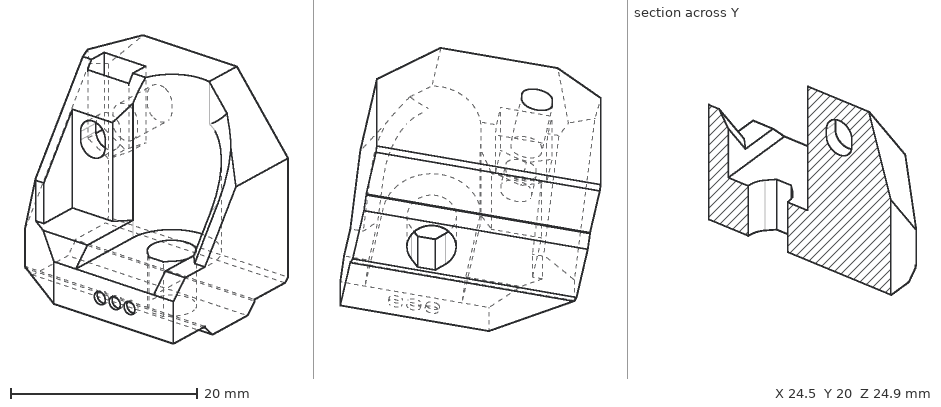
import cadquery as cq
import math

width = 24.5
depth = 20.0
height = 24.9

base_bottom = 1.45
base_front_top = 6.47
shelf_height = 8.55
shelf_front = 2.05
wall_front = 3.44
wall_break_height = 13.35
wall_top_front = 11.78
back_bottom_chamfer = 0.5
foot_front = 5.58
foot_back = 14.2
foot_chamfer = 1.25

corner_cut_x = 8.25
corner_cut_y = 5.48
right_slope_top_x = 17.53
right_slope_side_z = 16.04
back_corner_drop = 4.73
facet_front_x = 2.27
facet_front_y = 13.5
rib_left = 2.96
left_face_low_z = 5.95

channel_x = 16.5
channel_y = 9.95
channel_radius = 5.3
screw_hole_radius = 2.65
screw_hole_flat = 2.76

set_back_front = 5.48
set_back_limit = 15.16
flare_width = 1.3
flare_depth = 1.22
flare_mouth_y = 9.6

recess_left = 4.18
recess_right = 9.64
recess_back = 8.42
nut_x = 6.97
nut_z = 17.48
nut_flats = 5.63
nut_front = 11.08
nut_thickness = 2.91
cross_hole_radius = 1.67
cross_hole_shift = 0.5

pin_diameter = 1.5
pin_pitch = 2.02
pin_z = 3.95
pin_depth = 0.5

margin = 12.45
wall_slope = (height - wall_break_height) / (wall_top_front - wall_front)


def along_x(points, x_start, x_end):
    """Extrude a (y, z) outline between two x positions."""
    outline = cq.Workplane("YZ", origin=(x_start, 0, 0)).polyline(points).close()
    return outline.extrude(x_end - x_start)


def along_z(points, z_start, z_end):
    """Extrude an (x, y) outline between two z positions."""
    outline = cq.Workplane("XY", origin=(0, 0, z_start)).polyline(points).close()
    return outline.extrude(z_end - z_start)


def outside_plane(a, b, c):
    """Large block lying on the outer side of the plane through three points."""
    a, b, c = (cq.Vector(*point) for point in (a, b, c))
    normal = (b - a).cross(c - a)
    middle = cq.Vector(width / 2, depth / 2, height / 2)
    if normal.dot(middle - a) > 0:
        normal = normal * -1
    plane = cq.Plane(origin=a, xDir=b - a, normal=normal)
    size = 4 * height
    return cq.Workplane(plane).rect(size, size).extrude(size)


def teardrop(radius, flat):
    """45 degree roof on a hole along local +Y, cut off flat at the given distance."""
    tangent = radius / math.sqrt(2)
    flat_half = radius * math.sqrt(2) - flat
    return [(-tangent, tangent), (-flat_half, flat), (flat_half, flat), (tangent, tangent)]


def make_body():
    body = along_x(
        [
            (0, base_bottom),
            (foot_front, base_bottom),
            (foot_front, foot_chamfer),
            (foot_front + foot_chamfer, 0),
            (foot_back - foot_chamfer, 0),
            (foot_back, foot_chamfer),
            (foot_back, base_bottom),
            (depth - back_bottom_chamfer, base_bottom),
            (depth, base_bottom + back_bottom_chamfer),
            (depth, height),
            (wall_top_front, height),
            (wall_front, wall_break_height),
            (wall_front, shelf_height),
            (shelf_front, shelf_height),
            (0, base_front_top),
        ],
        0,
        width,
    )
    corner = along_z([(0, 0), (corner_cut_x, 0), (0, corner_cut_y)], 0, height)
    left_face = outside_plane(
        (rib_left, wall_top_front, height),
        (rib_left, wall_front, wall_break_height),
        (0, corner_cut_y, left_face_low_z),
    )
    back_facet = outside_plane(
        (back_corner_drop, depth, height),
        (0, depth, height - back_corner_drop),
        (facet_front_x, facet_front_y, height),
    )
    right_slope = outside_plane(
        (right_slope_top_x, 0, height), (right_slope_top_x, depth, height), (width, 0, right_slope_side_z)
    )
    return body.cut(corner).cut(left_face).cut(back_facet).cut(right_slope)


def make_channel():
    length = height + margin - base_front_top
    base = cq.Workplane("XY", origin=(channel_x, channel_y, base_front_top))
    arch = base.circle(channel_radius).extrude(length)
    mouth = base.center(0, -channel_y).rect(2 * channel_radius, 2 * channel_y).extrude(length)
    return arch.union(mouth)


def make_screw_hole():
    base = cq.Workplane("XY").center(channel_x, channel_y)
    roof = [(x, -y) for x, y in teardrop(screw_hole_radius, screw_hole_flat)]
    hole = base.circle(screw_hole_radius).extrude(height)
    return hole.union(base.polyline(roof + [(0, 0)]).close().extrude(height))


def make_set_back():
    """Slope right of the channel, parallel to the wall front, stopped at an upright face."""
    top_z = shelf_height + (set_back_limit - set_back_front) * wall_slope
    return along_x(
        [
            (0, shelf_height),
            (set_back_front, shelf_height),
            (set_back_limit, top_z),
            (set_back_limit, height + margin),
            (0, height + margin),
        ],
        channel_x,
        width + margin,
    )


def make_flare():
    """Bevel between the channel wall and the set-back slope, right of the channel only."""
    stretch = math.hypot(1, wall_slope)
    outward = cq.Vector(0, -wall_slope, 1) / stretch
    outer_z = shelf_height + (flare_mouth_y - set_back_front) * wall_slope
    outer_center = cq.Vector(channel_x, flare_mouth_y, outer_z)
    inner_z = shelf_height + (channel_y - set_back_front) * wall_slope - flare_depth * stretch
    inner_center = cq.Vector(channel_x, channel_y, inner_z)
    leg = 2 * height

    def outline(center, radius):
        plane = cq.Plane(origin=center, xDir=(1, 0, 0), normal=outward)
        sketch = cq.Workplane(plane).moveTo(0, -leg).lineTo(radius, -leg).lineTo(radius, 0)
        sketch = sketch.ellipseArc(radius, radius * stretch, 0, 90, startAtCurrent=True)
        return sketch.close().val()

    inner = outline(inner_center, channel_radius)
    outer = outline(outer_center, channel_radius + flare_width)
    flare = cq.Workplane(cq.Solid.makeLoft([inner, outer], True))
    limit = cq.Workplane("XY", origin=(channel_x, -margin, shelf_height))
    limit = limit.box(width, set_back_limit + margin, height, centered=False)
    return flare.intersect(limit)


def make_recess():
    channel_left = channel_x - channel_radius
    recess_chamfer = channel_left - recess_right
    return along_z(
        [
            (recess_left, 0),
            (recess_left, recess_back),
            (recess_right, recess_back),
            (channel_left, recess_back + recess_chamfer),
            (channel_left, 0),
        ],
        shelf_height,
        height + margin,
    )


def make_nut_pocket():
    """Hexagonal nut seat with a point at the bottom, open to the top."""
    half = nut_flats / 2
    side_drop = half / math.sqrt(3)
    point_drop = 2 * side_drop
    points = [
        (-half, height),
        (-half, -side_drop),
        (0, -point_drop),
        (half, -side_drop),
        (half, height),
    ]
    plane = cq.Workplane("XZ", origin=(nut_x, nut_front, nut_z))
    return plane.polyline(points).close().extrude(-nut_thickness)


def make_cross_hole():
    """Upright slot with round ends, right through from front to back."""
    base = cq.Workplane("XZ", origin=(nut_x, 0, nut_z))
    slot = base.slot2D(2 * (cross_hole_radius + cross_hole_shift), 2 * cross_hole_radius, 90)
    return slot.extrude(-depth)


def make_pin_holes():
    plane = cq.Workplane("XZ", origin=(channel_x, 0, pin_z))
    return plane.rarray(pin_pitch, 0.25, 3, 1).circle(pin_diameter / 2).extrude(-pin_depth)


result = make_body()
for cutter in (
    make_channel(),
    make_screw_hole(),
    make_set_back(),
    make_flare(),
    make_recess(),
    make_nut_pocket(),
    make_cross_hole(),
    make_pin_holes(),
):
    result = result.cut(cutter)